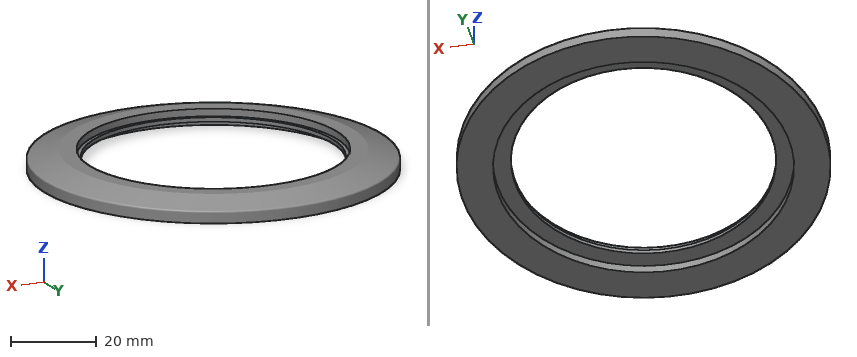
import cadquery as cq
import math

outer_diameter = 87.0
bore_diameter = 61.7
socket_diameter = 63.7
recess_diameter = 70.0
flat_diameter = 72.0
height = 5.0
socket_depth = 1.8
recess_depth = 2.1
cone_angle = math.radians(15.0)
edge_radius = 0.5

outer_radius = outer_diameter / 2
bore_radius = bore_diameter / 2
socket_radius = socket_diameter / 2
recess_radius = recess_diameter / 2
flat_radius = flat_diameter / 2
socket_floor = height - socket_depth

rim_height = height - (outer_radius - flat_radius) * math.tan(cone_angle)

turn_angle = math.pi / 2 - cone_angle
arc_center_radius = outer_radius - edge_radius
arc_center_height = rim_height - edge_radius * math.tan(turn_angle / 2)


def edge_point(angle):
    """Point on the rounded edge, at an angle measured up from the horizontal."""
    return (
        arc_center_radius + edge_radius * math.cos(angle),
        arc_center_height + edge_radius * math.sin(angle),
    )


section = (
    cq.Workplane("XZ")
    .moveTo(recess_radius, 0)
    .lineTo(outer_radius, 0)
    .lineTo(*edge_point(0))
    .threePointArc(edge_point(turn_angle / 2), edge_point(turn_angle))
    .lineTo(flat_radius, height)
    .lineTo(socket_radius, height)
    .lineTo(socket_radius, socket_floor)
    .lineTo(bore_radius, socket_floor)
    .lineTo(bore_radius, recess_depth)
    .lineTo(recess_radius, recess_depth)
    .close()
)

result = section.revolve(360, (0, 0, 0), (0, 1, 0))